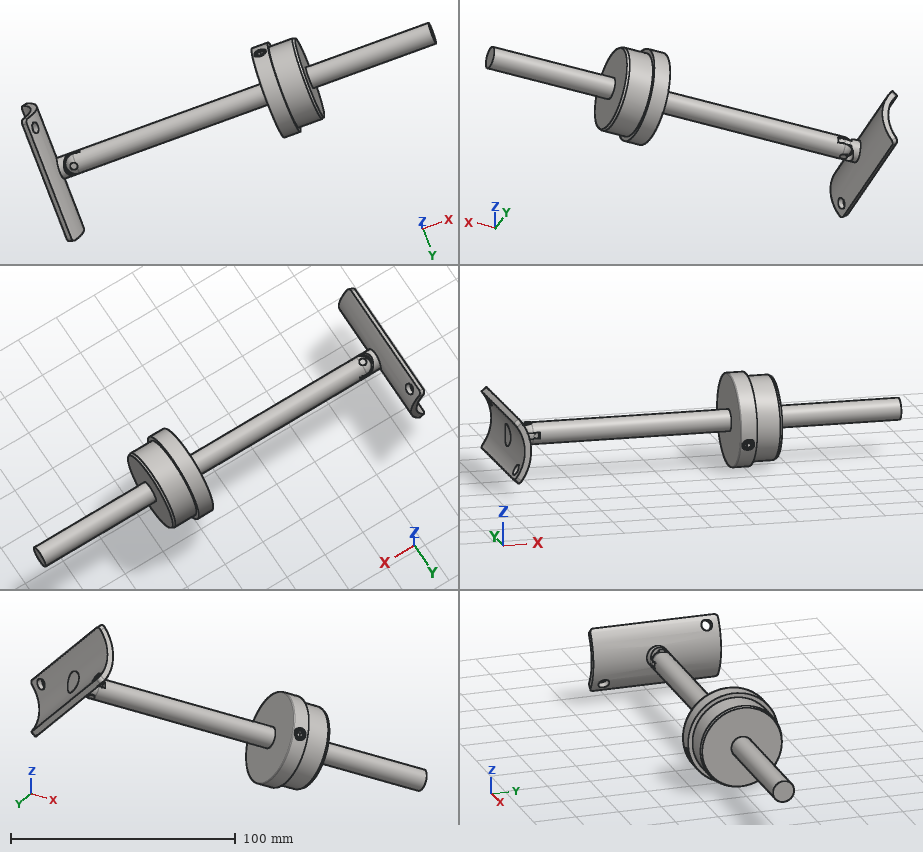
import cadquery as cq
import math

total_length = 184.5
rod_radius = 5.0

plate_width = 60.0
plate_inner_radius = 20.1
plate_thickness = 3.0
plate_outer_radius = plate_inner_radius + plate_thickness
plate_half_angle = 40.4
plate_corner_radius = 1.8
plate_hole_diameter = 5.0
plate_hole_angle = 28.8
plate_hole_offset = 24.2
plate_axis_x = -plate_inner_radius * math.cos(math.radians(plate_half_angle))

hinge_center_x = 15.1
hinge_relief_radius = 5.5
tab_thickness = 2.8
tab_end_x = 18.5
tab_corner_radius = 3.3
pin_x = 14.0
pin_radius = 1.7

flange_start_x = 106.3
flange_length = 7.8
flange_radius = 21.2
flange_edge_fillet = 0.4
hub_length = 12.2
hub_radius = 19.2
hub_chamfer_length = 1.1
hub_chamfer_depth = 0.5

screw_radius = 2.8
screw_tilt = 18.0
screw_outer_reach = 20.9
screw_chamfer = 0.5
socket_width = 3.0
socket_depth = 2.8
screw_x = flange_start_x + flange_length / 2


def x_cylinder(radius, start_x, end_x):
    """Cylinder on the X axis between two X positions."""
    return cq.Workplane("YZ", origin=(start_x, 0, 0)).circle(radius).extrude(end_x - start_x)


def z_cylinder(radius, center_x):
    """Cylinder along Z, as long as the rod diameter and centred on the rod axis."""
    return cq.Workplane("XY", origin=(center_x, 0, -rod_radius)).circle(radius).extrude(2 * rod_radius)


def saddle_cylinder(radius):
    """Cylinder along Y about the axis of curvature of the saddle plate."""
    return (
        cq.Workplane("XZ", origin=(plate_axis_x, 0, 0))
        .circle(radius)
        .extrude(plate_width / 2, both=True)
    )


def arc_point(radius, angle):
    """XZ point of the plate profile at an angle measured from +X."""
    turn = math.radians(angle)
    return (plate_axis_x + radius * math.cos(turn), radius * math.sin(turn))


def make_tab():
    """Flat hinge tongue with a rounded end, trimmed to the round outline of the rod."""
    tab_start_x = hinge_center_x - hinge_relief_radius
    tab_length = tab_end_x - tab_start_x
    return (
        cq.Workplane("XY", origin=(tab_start_x + tab_length / 2, 0, 0))
        .box(tab_length, 2 * rod_radius, tab_thickness)
        .edges("|Z and >X")
        .fillet(tab_corner_radius)
        .intersect(x_cylinder(rod_radius, tab_start_x, tab_end_x))
    )


def make_plate():
    """Curved plate with two radial holes and a bore for the neck."""
    plate = (
        cq.Workplane("XZ")
        .moveTo(*arc_point(plate_inner_radius, -plate_half_angle))
        .threePointArc(
            arc_point(plate_inner_radius, 0), arc_point(plate_inner_radius, plate_half_angle)
        )
        .lineTo(*arc_point(plate_outer_radius, plate_half_angle))
        .threePointArc(
            arc_point(plate_outer_radius, 0), arc_point(plate_outer_radius, -plate_half_angle)
        )
        .close()
        .extrude(plate_width / 2, both=True)
    )
    corners = plate.edges("%LINE and (not |Y)")
    plate = corners.fillet(plate_corner_radius)
    for side in (-1, 1):
        drill = (
            cq.Workplane("YZ", origin=(plate_axis_x, side * plate_hole_offset, 0))
            .circle(plate_hole_diameter / 2)
            .extrude(2 * plate_outer_radius)
            .rotate((plate_axis_x, 0, 0), (plate_axis_x, 1, 0), -side * plate_hole_angle)
        )
        plate = plate.cut(drill)
    return plate.cut(x_cylinder(rod_radius, 0, hinge_center_x))


def make_neck():
    """Round neck through the plate, hollowed for the rod end and carrying the tongue."""
    neck = x_cylinder(rod_radius, 0, hinge_center_x)
    neck = neck.cut(saddle_cylinder(plate_inner_radius))
    neck = neck.cut(z_cylinder(hinge_relief_radius, hinge_center_x))
    return neck.union(make_tab()).cut(z_cylinder(pin_radius, pin_x))


def make_rod():
    """Long rod with a ball end, slotted for the tongue and bored for the pin."""
    ball = cq.Workplane("XY", origin=(hinge_center_x, 0, 0)).sphere(rod_radius)
    rod = x_cylinder(rod_radius, hinge_center_x, total_length).union(ball)
    slot = cq.Workplane("XY").box(2 * tab_end_x, 2 * rod_radius, tab_thickness)
    return rod.cut(slot).cut(z_cylinder(pin_radius, pin_x))


def screw_cylinder():
    """Radial cylinder from the rod surface out through the flange, along -Y before tilting."""
    return (
        cq.Workplane("XZ", origin=(screw_x, -rod_radius, 0))
        .circle(screw_radius)
        .extrude(screw_outer_reach - rod_radius)
    )


def tilt(body):
    """Turn a body about the rod axis into the set screw direction."""
    return body.rotate((0, 0, 0), (1, 0, 0), screw_tilt)


def make_screw():
    """Set screw with a chamfered outer end and a hexagon socket."""
    socket = (
        cq.Workplane("XZ", origin=(screw_x, -screw_outer_reach, 0))
        .polygon(6, socket_width, circumscribed=True)
        .extrude(-socket_depth)
    )
    return tilt(screw_cylinder().faces("<Y").chamfer(screw_chamfer).cut(socket))


def make_housing():
    """Flanged hub with a rod bore and a radial set screw hole."""
    hub_start_x = flange_start_x + flange_length
    hub_end_x = hub_start_x + hub_length
    flange = x_cylinder(flange_radius, flange_start_x, hub_start_x)
    flange = flange.faces("<X").edges().fillet(flange_edge_fillet)
    hub = (
        cq.Workplane("XY")
        .moveTo(hub_start_x, 0)
        .lineTo(hub_start_x, hub_radius)
        .lineTo(hub_end_x - hub_chamfer_length, hub_radius)
        .lineTo(hub_end_x, hub_radius - hub_chamfer_depth)
        .lineTo(hub_end_x, 0)
        .close()
        .revolve(360, (0, 0, 0), (1, 0, 0))
    )
    bore = x_cylinder(rod_radius, flange_start_x, hub_end_x)
    screw_hole = (
        cq.Workplane("XZ", origin=(screw_x, 0, 0)).circle(screw_radius).extrude(flange_radius)
    )
    return flange.union(hub).cut(bore).cut(tilt(screw_hole))


plate = make_plate()
neck = make_neck()
rod = make_rod()
pin = z_cylinder(pin_radius, pin_x)
housing = make_housing()
screw = make_screw()

bodies = [plate, neck, rod, pin, housing, screw]
result = cq.Compound.makeCompound([body.solids().val() for body in bodies])